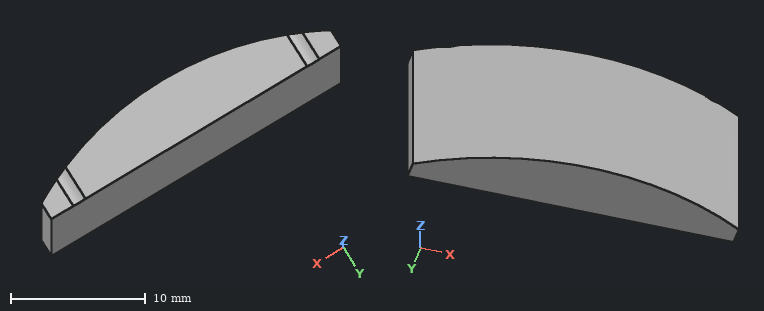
import cadquery as cq

length = 25.25
depth = 4.77
height = 11.5
end_thickness = 1.45

groove_width = 1.05
groove_depth = 0.1
groove_center_from_end = 2.45

half_length = length / 2
groove_offset = half_length - groove_center_from_end


def make_segment():
    """Block with a flat back at Y = 0 and a convex front bulging toward -Y."""
    return (
        cq.Workplane("XY")
        .moveTo(-half_length, 0)
        .lineTo(-half_length, -end_thickness)
        .threePointArc((0, -depth), (half_length, -end_thickness))
        .lineTo(half_length, 0)
        .close()
        .extrude(height)
    )


def make_groove_cutter(center_x):
    """Circular-segment bar running front to back through the top face."""
    return (
        cq.Workplane("XZ")
        .moveTo(center_x - groove_width / 2, height)
        .threePointArc(
            (center_x, height - groove_depth),
            (center_x + groove_width / 2, height),
        )
        .close()
        .extrude(depth)
    )


result = make_segment()
for side in (-1, 1):
    result = result.cut(make_groove_cutter(side * groove_offset))